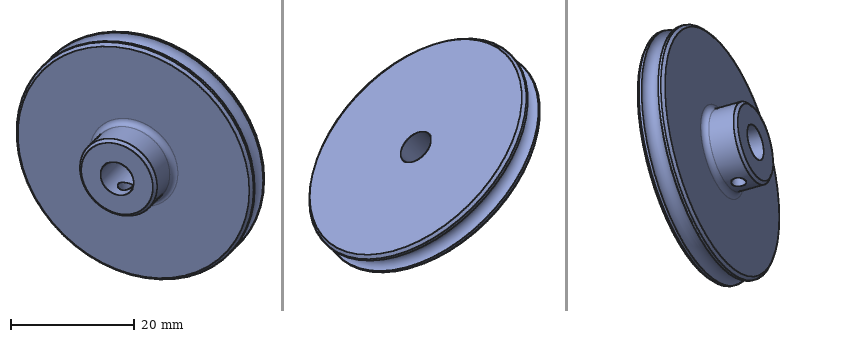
import cadquery as cq

wheel_diameter = 43.0
wheel_width = 5.0
wheel_radius = wheel_diameter / 2
groove_radius = 1.5

hub_diameter = 14.0
hub_length = 6.0
hub_radius = hub_diameter / 2
bore_diameter = 6.0
set_screw_diameter = 2.45

edge_chamfer = 0.5
hub_fillet_radius = 1.0

wheel_front = hub_length
wheel_back = wheel_front + wheel_width
groove_center = wheel_front + wheel_width / 2
set_screw_position = hub_length / 2


def make_body():
    """Revolve the half section of wheel and hub, with its fillet and groove."""
    fillet_start = wheel_front - hub_fillet_radius
    fillet_end = hub_radius + hub_fillet_radius
    half_section = (
        cq.Workplane("XY")
        .lineTo(hub_radius - edge_chamfer, 0)
        .lineTo(hub_radius, edge_chamfer)
        .lineTo(hub_radius, fillet_start)
        .radiusArc((fillet_end, wheel_front), hub_fillet_radius)
        .lineTo(wheel_radius - edge_chamfer, wheel_front)
        .lineTo(wheel_radius, wheel_front + edge_chamfer)
        .lineTo(wheel_radius, groove_center - groove_radius)
        .threePointArc(
            (wheel_radius - groove_radius, groove_center),
            (wheel_radius, groove_center + groove_radius),
        )
        .lineTo(wheel_radius, wheel_back - edge_chamfer)
        .lineTo(wheel_radius - edge_chamfer, wheel_back)
        .lineTo(0, wheel_back)
        .close()
    )
    return half_section.revolve(360, (0, 0), (0, 1))


def make_bore():
    """Through bore along the wheel axis."""
    return cq.Workplane("XZ").circle(bore_diameter / 2).extrude(-wheel_back)


def make_set_screw_hole():
    """Radial hole from the bore axis out through the -Z side of the hub."""
    return (
        cq.Workplane("XY")
        .center(0, set_screw_position)
        .circle(set_screw_diameter / 2)
        .extrude(-hub_diameter)
    )


result = make_body().cut(make_bore()).cut(make_set_screw_hole())